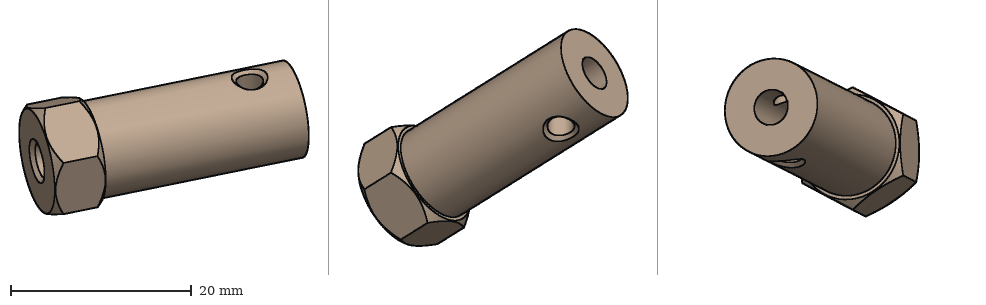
import cadquery as cq
import math

length = 30.0
head_length = 6.0
across_flats = 12.0
across_corners = across_flats / math.cos(math.pi / 6)
barrel_diameter = 11.0

head_face_diameter = 11.85
head_chamfer = (across_corners - head_face_diameter) / 2

bore_diameter = 4.0
bore_rim_diameter = 5.0
bore_countersink = (bore_rim_diameter - bore_diameter) / 2

cross_diameter = 3.0
cross_rim_diameter = 4.0
cross_from_end = 5.0
cross_chamfer = (cross_rim_diameter - cross_diameter) / 2
cross_y = length - cross_from_end


def cylinder_y(diameter, depth):
    """Cylinder along +Y starting at Y = 0."""
    return cq.Workplane("XZ").circle(diameter / 2).extrude(-depth)


def hex_head():
    corners = [
        (across_corners / 2 * math.sin(i * math.pi / 3), across_corners / 2 * math.cos(i * math.pi / 3))
        for i in range(6)
    ]
    prism = cq.Workplane("XZ").polyline(corners).close().extrude(-head_length)
    envelope = cylinder_y(across_corners, head_length).faces("<Y or >Y").chamfer(head_chamfer)
    return prism.intersect(envelope)


def bore():
    countersink = cq.Solid.makeCone(
        bore_rim_diameter / 2, bore_diameter / 2, bore_countersink,
        cq.Vector(0, 0, 0), cq.Vector(0, 1, 0),
    )
    return cylinder_y(bore_diameter, length).union(cq.Workplane(countersink))


def drilled_barrel():
    barrel_radius = barrel_diameter / 2
    hole = (
        cq.Workplane("XY", origin=(0, cross_y, -barrel_radius))
        .circle(cross_diameter / 2)
        .extrude(barrel_diameter)
    )
    barrel = cylinder_y(barrel_diameter, length).cut(hole)
    for side in (1, -1):
        mouth = cq.Vector(0, cross_y, side * barrel_radius)
        barrel = barrel.edges(cq.selectors.NearestToPointSelector(mouth)).chamfer(cross_chamfer)
    return barrel


result = hex_head().union(drilled_barrel()).cut(bore())